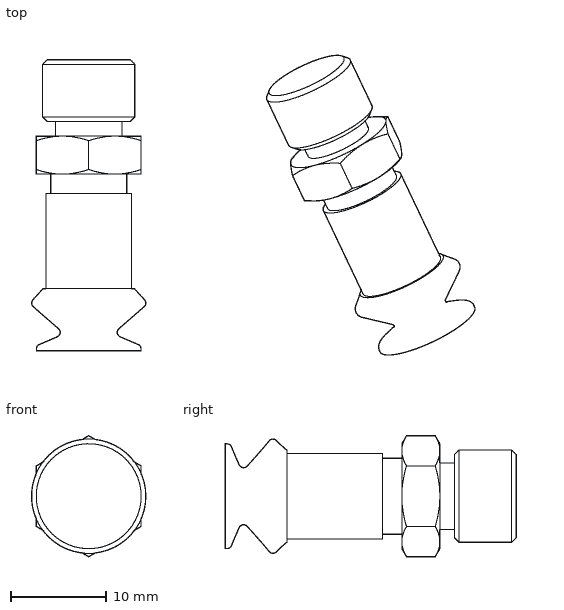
import cadquery as cq
import math


total_length = 30.5
thread_length = 6.5
thread_relief_length = 1.5
nut_thickness = 4.0
collar_length = 2.0
bellows_length = 6.5

thread_start = total_length - thread_length
nut_back = thread_start - thread_relief_length
nut_front = nut_back - nut_thickness
body_back = nut_front - collar_length

thread_diameter = 9.7
thread_chamfer = 0.5
thread_relief_diameter = 7.0
collar_diameter = 8.0
body_diameter = 9.0

nut_across_flats = 11.0
nut_corner_count = 6
nut_chamfer_angle = 30.0
nut_across_corners = nut_across_flats / math.cos(math.pi / nut_corner_count)

lip_diameter = 11.0
lip_edge_height = 0.2
neck_diameter = 6.0
neck_height = 1.93
bulge_diameter = 12.0
bulge_height = 5.0
shoulder_diameter = 9.6
round_radius = 0.5


def point_at(center, radius, angle):
    """Point on a circle at the given angle in radians."""
    return (center[0] + radius * math.cos(angle), center[1] + radius * math.sin(angle))


def crossing_tangent_angle(start, end, radius_sum, side):
    """Direction from start of the line touching both circles on opposite sides.

    side is +1 when the line leaves the start circle on its right-hand side, -1 on its left.
    """
    dx = end[0] - start[0]
    dy = end[1] - start[1]
    swing = math.asin(radius_sum / math.hypot(dx, dy))
    return math.atan2(dy, dx) + side * swing


def revolve_about_y(profile):
    return profile.close().revolve(360, (0, 0, 0), (0, 1, 0))


def cylinder(diameter, start, end):
    return revolve_about_y(
        cq.Workplane("XY").moveTo(0, start).lineTo(diameter / 2, start).lineTo(diameter / 2, end).lineTo(0, end)
    )


def make_stem():
    thread = cylinder(thread_diameter, thread_start, total_length).edges().chamfer(thread_chamfer)
    relief = cylinder(thread_relief_diameter, nut_back, thread_start)
    collar = cylinder(collar_diameter, body_back, nut_front)
    body = cylinder(body_diameter, bellows_length, body_back)
    return thread, relief, collar, body


def make_nut():
    """Hexagon whose corners are cut back by a cone at each end."""
    hexagon = (
        cq.Workplane("XZ", origin=(0, nut_back, 0))
        .transformed(rotate=(0, 0, 90))
        .polygon(nut_corner_count, nut_across_corners)
        .extrude(nut_thickness)
    )
    corner_radius = nut_across_corners / 2
    face_radius = nut_across_flats / 2
    cone_depth = (corner_radius - face_radius) * math.tan(math.radians(nut_chamfer_angle))
    envelope = revolve_about_y(
        cq.Workplane("XY")
        .moveTo(0, nut_front)
        .lineTo(face_radius, nut_front)
        .lineTo(corner_radius, nut_front + cone_depth)
        .lineTo(corner_radius, nut_back - cone_depth)
        .lineTo(face_radius, nut_back)
        .lineTo(0, nut_back)
    )
    return hexagon.intersect(envelope)


def make_bellows():
    """Lip, waist and bulge rounded by equal arcs and joined by tangent cones."""
    lip_center = (lip_diameter / 2 - round_radius, lip_edge_height)
    neck_center = (neck_diameter / 2 + round_radius, neck_height)
    bulge_center = (bulge_diameter / 2 - round_radius, bulge_height)
    shoulder = (shoulder_diameter / 2, bellows_length)

    lip_cone = crossing_tangent_angle(lip_center, neck_center, 2 * round_radius, 1)
    bulge_cone = crossing_tangent_angle(neck_center, bulge_center, 2 * round_radius, -1)
    shoulder_cone = crossing_tangent_angle(bulge_center, shoulder, round_radius, 1)

    quarter_turn = math.pi / 2
    lip_end = lip_cone - quarter_turn
    neck_start = lip_cone + quarter_turn
    neck_end = bulge_cone + quarter_turn
    bulge_start = bulge_cone - quarter_turn
    bulge_end = shoulder_cone - quarter_turn

    return revolve_about_y(
        cq.Workplane("XY")
        .lineTo(lip_diameter / 2, 0)
        .lineTo(lip_diameter / 2, lip_edge_height)
        .threePointArc(
            point_at(lip_center, round_radius, lip_end / 2),
            point_at(lip_center, round_radius, lip_end),
        )
        .lineTo(*point_at(neck_center, round_radius, neck_start))
        .threePointArc(
            point_at(neck_center, round_radius, math.pi),
            point_at(neck_center, round_radius, neck_end),
        )
        .lineTo(*point_at(bulge_center, round_radius, bulge_start))
        .threePointArc(
            point_at(bulge_center, round_radius, 0),
            point_at(bulge_center, round_radius, bulge_end),
        )
        .lineTo(*shoulder)
        .lineTo(0, bellows_length)
    )


result = make_bellows().union(make_nut())
for section in make_stem():
    result = result.union(section)